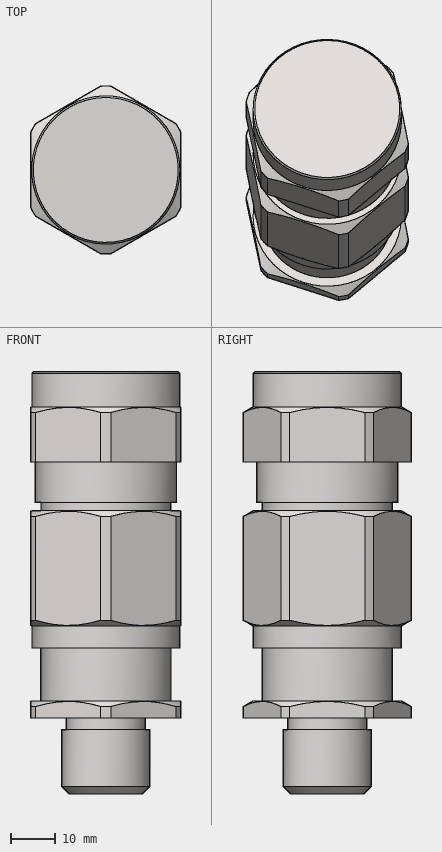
import cadquery as cq
import math

SPIGOT_TOP = 14.6
UNDERCUT_TOP = 17.2
FLANGE_TOP = 21.1
BODY_TOP = 33.0
COLLAR_TOP = 38.0
MAIN_HEX_TOP = 64.1
NECK_TOP = 66.0
SLEEVE_TOP = 75.1
CAP_HEX_TOP = 87.6
TOTAL_HEIGHT = 95.5

SPIGOT_DIAMETER = 20.0
UNDERCUT_DIAMETER = 18.0
BODY_DIAMETER = 29.5
COLLAR_DIAMETER = 33.5
NECK_DIAMETER = 29.4
SLEEVE_DIAMETER = 32.0
CAP_DIAMETER = 33.5

ACROSS_FLATS = 34.0
CORNER_DIAMETER = 38.0
BEVEL_START_DIAMETER = 33.5
BEVEL_ANGLE = 30.0

SPIGOT_CHAMFER = 1.7
CAP_CHAMFER = 0.4


def cylinder(diameter, bottom, top):
    return cq.Workplane("XY").workplane(offset=bottom).circle(diameter / 2).extrude(top - bottom)


def hexagon(bottom, top, bevel_bottom=False, bevel_top=False):
    """Hexagonal prism with turned corners and optional conical end bevels."""
    across_corners = ACROSS_FLATS / math.cos(math.pi / 6)
    prism = (
        cq.Workplane("XY")
        .workplane(offset=bottom)
        .transformed(rotate=(0, 0, 90))
        .polygon(6, across_corners)
        .extrude(top - bottom)
    )
    bevel_width = (CORNER_DIAMETER - BEVEL_START_DIAMETER) / 2
    bevel_height = bevel_width * math.tan(math.radians(BEVEL_ANGLE))
    envelope = cylinder(CORNER_DIAMETER, bottom, top)
    if bevel_bottom:
        envelope = envelope.faces("<Z").chamfer(bevel_height, bevel_width)
    if bevel_top:
        envelope = envelope.faces(">Z").chamfer(bevel_height, bevel_width)
    return prism.intersect(envelope)


spigot = cylinder(SPIGOT_DIAMETER, 0, SPIGOT_TOP).faces("<Z").chamfer(SPIGOT_CHAMFER)
cap = cylinder(CAP_DIAMETER, CAP_HEX_TOP, TOTAL_HEIGHT).faces(">Z").chamfer(CAP_CHAMFER)

sections = [
    cylinder(UNDERCUT_DIAMETER, SPIGOT_TOP, UNDERCUT_TOP),
    hexagon(UNDERCUT_TOP, FLANGE_TOP, bevel_top=True),
    cylinder(BODY_DIAMETER, FLANGE_TOP, BODY_TOP),
    cylinder(COLLAR_DIAMETER, BODY_TOP, COLLAR_TOP),
    hexagon(COLLAR_TOP, MAIN_HEX_TOP, bevel_bottom=True, bevel_top=True),
    cylinder(NECK_DIAMETER, MAIN_HEX_TOP, NECK_TOP),
    cylinder(SLEEVE_DIAMETER, NECK_TOP, SLEEVE_TOP),
    hexagon(SLEEVE_TOP, CAP_HEX_TOP, bevel_top=True),
    cap,
]

result = spigot
for section in sections:
    result = result.union(section)